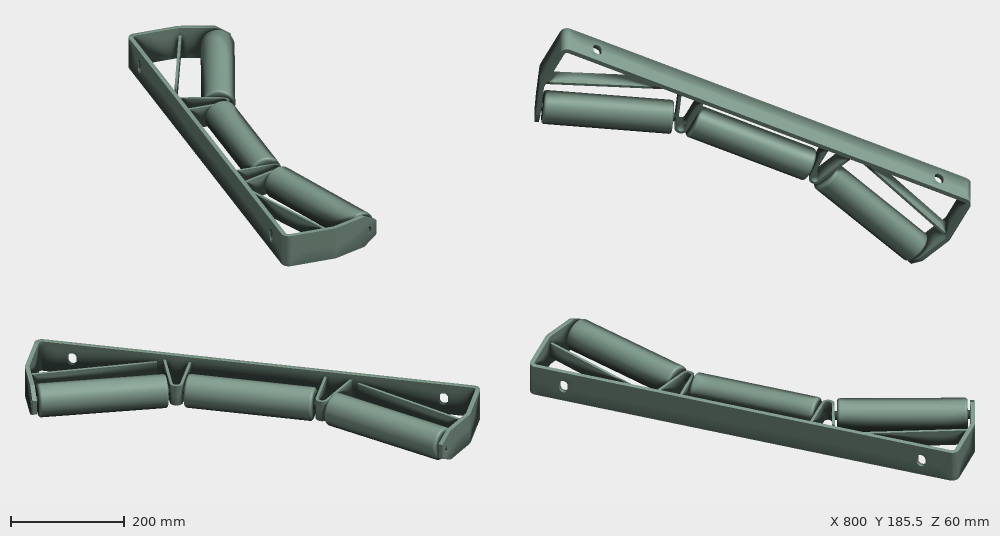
import cadquery as cq
import math

frame_length = 800.0
bar_width = 60.0
plate = 8.0
bend_inner_radius = 6.0
bend_outer_radius = bend_inner_radius + plate
arm_bend_y = 97.0
arm_top_y = 185.0
tilt = 20.0
tip_taper_length = 28.0
tip_taper_depth = 16.0
shaft_slot_length = 21.0
mount_slot_x = 334.0
mount_slot_length = 24.0
mount_slot_width = 16.0

roller_diameter = 60.0
roller_length = 230.0
roller_end_radius = 5.0
shaft_length = 238.0
shaft_diameter = 16.0
shaft_flats = 13.0
centre_axis_y = 71.0
axis_along_arm = 70.0

bracket_plate = 5.0
bracket_width = 40.0
bracket_inner_radius = 7.0
brace_plate = 5.0
brace_width = 30.0
brace_foot_x = 182.0

half_length = frame_length / 2
half_width = bar_width / 2
sin_tilt = math.sin(math.radians(tilt))
cos_tilt = math.cos(math.radians(tilt))
arm_length = (arm_top_y - arm_bend_y) / cos_tilt
arm_inner_bend = (half_length - plate, arm_bend_y - plate * math.tan(math.radians(tilt / 2)))
roller_gap = (shaft_length - roller_length) / 2


def arm_point(along, inward):
    """Point at a distance along the arm from its bend and inward from its outer face."""
    x = half_length - along * sin_tilt - inward * cos_tilt
    y = arm_bend_y + along * cos_tilt - inward * sin_tilt
    return (x, y)


def mirrored(points, side):
    return [(side * x, y) for x, y in points]


def extrude_centred(profile, width):
    return profile.extrude(width / 2, both=True)


def round_corners(body, corners, radius):
    """Round the Z-parallel edges standing at the given XY corners."""
    for x, y in corners:
        body = body.edges("|Z").edges(cq.selectors.NearestToPointSelector((x, y, 0))).fillet(radius)
    return body


def shaft_outline(workplane, length):
    """Shaft section with two flats, its round ends moved apart to the given length along local x."""
    radius = shaft_diameter / 2
    flat_y = shaft_flats / 2
    flat_x = (length - shaft_diameter) / 2 + math.sqrt(radius**2 - flat_y**2)
    return (
        workplane.moveTo(-flat_x, -flat_y)
        .lineTo(flat_x, -flat_y)
        .threePointArc((length / 2, 0), (flat_x, flat_y))
        .lineTo(-flat_x, flat_y)
        .threePointArc((-length / 2, 0), (-flat_x, -flat_y))
        .close()
    )


def arm_plane(side):
    """Plane on the outer face of an arm, local x running from the bend to the tip."""
    return cq.Plane(
        origin=(side * half_length, arm_bend_y, 0),
        xDir=(-side * sin_tilt, cos_tilt, 0),
        normal=(side * cos_tilt, sin_tilt, 0),
    )


def outer_axis_point(side, inward):
    """Point on an outer roller axis, inward of the arm's outer face."""
    x, y = arm_point(axis_along_arm, inward)
    return (side * x, y)


def outer_axis_direction(side):
    """Direction of an outer roller axis from its arm towards its bracket."""
    return (-side * cos_tilt, -sin_tilt)


def cut_arm_tip(body, side):
    """Taper both edges of an arm tip."""
    taper_start = arm_length - tip_taper_length
    for edge in (-1, 1):
        corner = [
            (taper_start, edge * half_width),
            (arm_length, edge * (half_width - tip_taper_depth)),
            (arm_length, edge * half_width),
        ]
        body = body.cut(cq.Workplane(arm_plane(side)).polyline(corner).close().extrude(-plate))
    return body


def axis_plane(point, direction):
    """Plane square to a roller axis, local x pointing up the plate that carries the shaft."""
    up_sign = math.copysign(1, direction[0])
    up = (-up_sign * direction[1], up_sign * direction[0], 0)
    return cq.Plane(origin=(*point, 0), xDir=up, normal=(*direction, 0))


def cut_shaft_slot(body, axis_start, direction, depth):
    """Cut a shaft slot from axis_start along direction; the shaft rests on its lower end."""
    slot_centre = (shaft_slot_length - shaft_diameter) / 2
    slot_start = cq.Workplane(axis_plane(axis_start, direction)).center(slot_centre, 0)
    return body.cut(shaft_outline(slot_start, shaft_slot_length).extrude(depth))


def make_frame():
    outer_half = [(half_length, 0), (half_length, arm_bend_y), arm_point(arm_length, 0)]
    inner_half = [arm_point(arm_length, plate), arm_inner_bend, (half_length - plate, plate)]
    right_half = outer_half + inner_half
    outline = right_half + mirrored(reversed(right_half), -1)
    body = extrude_centred(cq.Workplane("XY").polyline(outline).close(), bar_width)
    for side in (-1, 1):
        body = round_corners(body, mirrored(outer_half[:2], side), bend_outer_radius)
        body = round_corners(body, mirrored(inner_half[1:], side), bend_inner_radius)
        body = cut_arm_tip(body, side)
        body = cut_shaft_slot(body, outer_axis_point(side, 0), outer_axis_direction(side), plate)
    mount_slots = (
        cq.Workplane("XZ")
        .pushPoints([(-mount_slot_x, 0), (mount_slot_x, 0)])
        .slot2D(mount_slot_length, mount_slot_width, 90)
        .extrude(-plate)
    )
    return body.cut(mount_slots)


def make_roller(shaft_start, direction, start_plate, end_plate):
    """Roller and shaft in one piece, the shaft reaching through the plates at both ends."""
    plane = axis_plane(shaft_start, direction)
    shell = (
        cq.Workplane(plane)
        .workplane(offset=start_plate + roller_gap)
        .circle(roller_diameter / 2)
        .extrude(roller_length)
        .edges("%CIRCLE")
        .fillet(roller_end_radius)
    )
    whole_length = start_plate + shaft_length + end_plate
    shaft = shaft_outline(cq.Workplane(plane), shaft_diameter).extrude(whole_length)
    return shell.union(shaft)


def make_centre_roller():
    shaft_start = (-shaft_length / 2 - bracket_plate, centre_axis_y)
    return make_roller(shaft_start, (1, 0), bracket_plate, bracket_plate)


def make_outer_roller(side):
    return make_roller(outer_axis_point(side, 0), outer_axis_direction(side), plate, bracket_plate)


def make_bracket(side):
    """Bent strip with an upright leg and a leg parallel to the arm, joined by a round top."""
    outer_radius = bracket_inner_radius + bracket_plate
    upright_face_x = shaft_length / 2
    leaning_face = plate + shaft_length

    centre_x = upright_face_x + outer_radius
    arc_line_x, arc_line_y = arm_point(0, leaning_face + outer_radius)
    centre_y = arc_line_y + (arc_line_x - centre_x) * cos_tilt / sin_tilt

    def strip_side(radius):
        """Upright foot, arc start, crown, arc end and leaning foot of one side of the strip."""
        arc_end = (centre_x + radius * cos_tilt, centre_y + radius * sin_tilt)
        leaning_foot_x = arc_end[0] + (arc_end[1] - plate) * sin_tilt / cos_tilt
        points = [
            (centre_x - radius, plate),
            (centre_x - radius, centre_y),
            (centre_x, centre_y + radius),
            arc_end,
            (leaning_foot_x, plate),
        ]
        return mirrored(points, side)

    outer = strip_side(outer_radius)
    inner = strip_side(bracket_inner_radius)
    profile = (
        cq.Workplane("XY")
        .moveTo(*outer[0])
        .lineTo(*outer[1])
        .threePointArc(outer[2], outer[3])
        .lineTo(*outer[4])
        .lineTo(*inner[4])
        .lineTo(*inner[3])
        .threePointArc(inner[2], inner[1])
        .lineTo(*inner[0])
        .close()
    )
    body = extrude_centred(profile, bracket_width)

    slot_depth = 2 * bracket_plate
    body = cut_shaft_slot(body, (side * upright_face_x, centre_axis_y), (side, 0), slot_depth)
    leaning_start = outer_axis_point(side, leaning_face)
    return cut_shaft_slot(body, leaning_start, outer_axis_direction(side), slot_depth)


def make_brace(side, frame):
    """Straight strip from the base to the arm bend, trimmed where it meets the frame."""
    run = arm_inner_bend[0] - brace_foot_x
    rise = arm_inner_bend[1] - plate
    reach = math.hypot(run, rise)
    along_x, along_y = run / reach, rise / reach
    length = reach + plate / 2
    foot = (brace_foot_x, plate)
    head = (foot[0] + length * along_x, foot[1] + length * along_y)
    lower_edge = [foot, head]
    upper_edge = [(x - brace_plate * along_y, y + brace_plate * along_x) for x, y in lower_edge]
    outline = mirrored(lower_edge + upper_edge[::-1], side)
    strip = extrude_centred(cq.Workplane("XY").polyline(outline).close(), brace_width)
    return strip.cut(frame)


sides = (-1, 1)
frame = make_frame()
centre_roller = make_centre_roller()
outer_rollers = [make_outer_roller(side) for side in sides]
brackets = [make_bracket(side) for side in sides]
braces = [make_brace(side, frame) for side in sides]

bodies = [frame, centre_roller, *outer_rollers, *brackets, *braces]
result = cq.Compound.makeCompound([body.solids().val() for body in bodies])